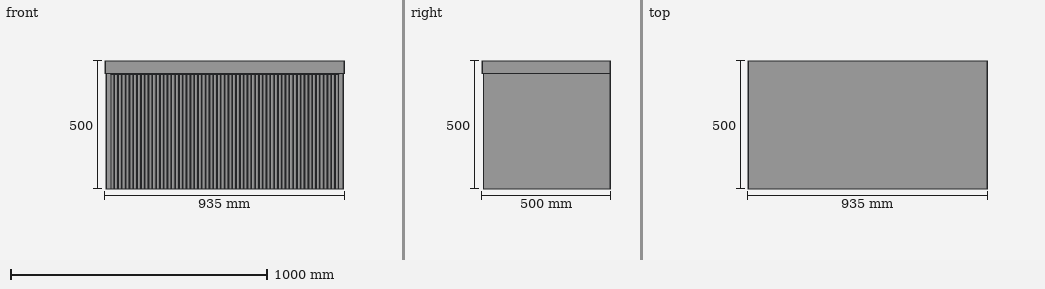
import cadquery as cq

lid_width = 935.0
lid_depth = 500.0
total_height = 500.0
lid_height = 50.0

band_thickness = 2.0
front_overhang = 6.0
side_overhang = 5.0

side_thickness = 19.0

flute_count = 60
flute_rise = 4.0
flute_gap = 3.0
front_thickness = 18.0
front_top_gap = 3.0

carcass_width = lid_width - 2 * side_overhang
carcass_depth = lid_depth - front_overhang
carcass_height = total_height - lid_height
carcass_front_y = front_overhang
front_width = carcass_width - 2 * side_thickness


def make_block(x_start, y_start, z_start, width, depth, height):
    """Solid box placed by its left, front, bottom corner."""
    box = cq.Workplane("XY").box(width, depth, height, centered=False)
    return box.translate((x_start, y_start, z_start)).val()


def make_lid_core():
    """Lid slab between its two edge bands."""
    core_width = lid_width - 2 * band_thickness
    return make_block(-core_width / 2, 0, carcass_height, core_width, lid_depth, lid_height)


def make_edge_band(x_start):
    """Thin strip that covers one end of the lid."""
    return make_block(x_start, 0, carcass_height, band_thickness, lid_depth, lid_height)


def make_side_panel(x_start):
    """Upright panel that carries one end of the lid."""
    return make_block(x_start, carcass_front_y, 0, side_thickness, carcass_depth, carcass_height)


def make_fluted_front():
    """Panel between the sides with a row of upright convex beads on its face."""
    pitch = (front_width + flute_gap) / flute_count
    flute_width = pitch - flute_gap
    valley_y = carcass_front_y + flute_rise
    back_y = carcass_front_y + front_thickness
    left_x = -front_width / 2
    outline = cq.Workplane("XY").moveTo(left_x, back_y).lineTo(left_x, valley_y)
    for index in range(flute_count):
        start_x = left_x + index * pitch
        if index > 0:
            outline = outline.lineTo(start_x, valley_y)
        crest = (start_x + flute_width / 2, carcass_front_y)
        outline = outline.threePointArc(crest, (start_x + flute_width, valley_y))
    outline = outline.lineTo(left_x + front_width, back_y).close()
    return outline.extrude(carcass_height - front_top_gap).val()


lid_core = make_lid_core()
edge_bands = [make_edge_band(x) for x in (-lid_width / 2, lid_width / 2 - band_thickness)]
side_panels = [make_side_panel(x) for x in (-carcass_width / 2, carcass_width / 2 - side_thickness)]
fluted_front = make_fluted_front()

result = cq.Compound.makeCompound([lid_core, *edge_bands, *side_panels, fluted_front])